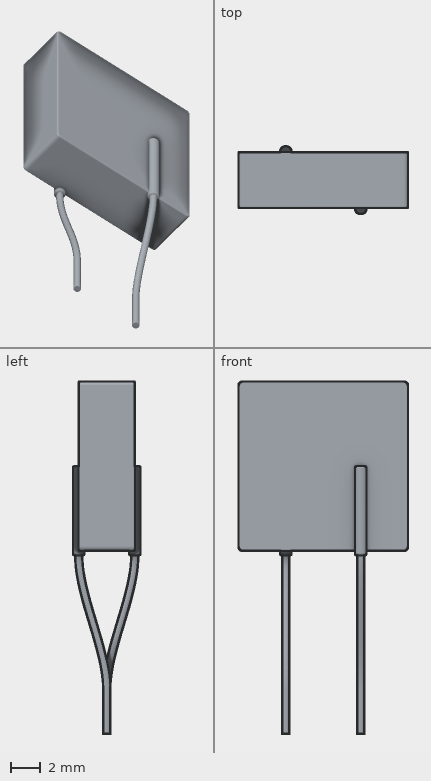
import cadquery as cq

body_width = 11.5
body_height = 11.5
body_thickness = 3.8
corner_radius = 0.3
face_edge_radius = 0.1

lead_pitch = 5.08
wire_diameter = 0.5
pin_length = 3.0
body_standoff = 9.4
bend_handle = 2.8

sleeve_diameter = 0.8
sleeve_overhang = 0.3
sleeve_edge_radius = 0.15

sleeve_bottom = body_standoff - sleeve_overhang
sleeve_top = body_standoff + body_height / 2


def make_body():
    """Block with rounded corners and lightly rounded broad-face edges."""
    block = cq.Workplane("XY").box(
        body_width, body_thickness, body_height, centered=(True, True, False)
    )
    block = block.edges("|Y").fillet(corner_radius)
    block = block.faces("<Y or >Y").edges().fillet(face_edge_radius)
    return block.translate((0, 0, body_standoff))


def make_sleeve(x, y):
    """Upright cylinder with rounded end edges."""
    sleeve = cq.Workplane("XY", origin=(x, y, sleeve_bottom))
    sleeve = sleeve.circle(sleeve_diameter / 2).extrude(sleeve_top - sleeve_bottom)
    return sleeve.edges().fillet(sleeve_edge_radius)


def make_wire(x, y):
    """Straight pin on the centre plane, then an S-bend up to the sleeve."""
    wire_radius = wire_diameter / 2
    pin = cq.Workplane("XY", origin=(x, 0, -pin_length)).circle(wire_radius).extrude(pin_length)
    bend_path = cq.Workplane("YZ", origin=(x, 0, 0)).bezier(
        [
            (0, 0),
            (0, bend_handle),
            (y, sleeve_bottom - bend_handle),
            (y, sleeve_bottom),
        ]
    )
    bend = cq.Workplane("XY", origin=(x, 0, 0)).circle(wire_radius).sweep(bend_path)
    return pin.union(bend)


result = make_body()
for side in (-1, 1):
    lead_x = -side * lead_pitch / 2
    lead_y = side * body_thickness / 2
    result = result.union(make_sleeve(lead_x, lead_y))
    result = result.union(make_wire(lead_x, lead_y))